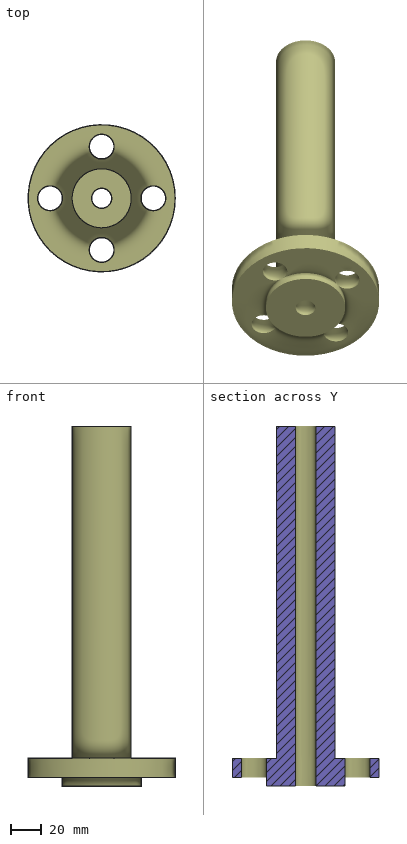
import cadquery as cq

total_length = 232.5

flange_diameter = 95.1
flange_thickness = 12.5

face_diameter = 51.2
face_height = 5.5

neck_diameter = 38.1
bore_diameter = 12.8

bolt_count = 4
bolt_circle_diameter = 66.8
bolt_hole_diameter = 15.8

flange_top = face_height + flange_thickness
neck_length = total_length - flange_top


def cylinder(diameter, height, base_z):
    """Upright cylinder on the Z axis, standing on base_z."""
    return cq.Workplane("XY").workplane(offset=base_z).circle(diameter / 2).extrude(height)


raised_face = cylinder(face_diameter, face_height, 0)
flange = cylinder(flange_diameter, flange_thickness, face_height)
neck = cylinder(neck_diameter, neck_length, flange_top)
body = raised_face.union(flange).union(neck)

bore = cylinder(bore_diameter, total_length, 0)

bolt_holes = (
    cq.Workplane("XY")
    .workplane(offset=face_height)
    .polarArray(bolt_circle_diameter / 2, 0, 360, bolt_count)
    .circle(bolt_hole_diameter / 2)
    .extrude(flange_thickness)
)

result = body.cut(bore).cut(bolt_holes)